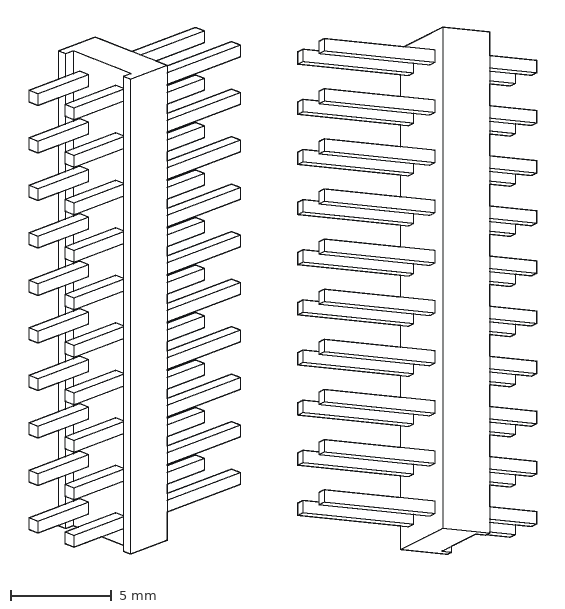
import cadquery as cq

pitch = 2.55
columns = 2
rows = 10
pin_size = 0.64
pin_back_length = 6.0
pin_front_length = 2.97
body_depth = 2.55
channel_depth = 0.53
rim_width = 0.5

body_width = columns * pitch
body_height = rows * pitch
pin_length = pin_back_length + body_depth + pin_front_length
pin_center_y = (pin_back_length - pin_front_length) / 2


def make_body():
    """Housing block with a full-height channel in its -Y face."""
    block = cq.Workplane("XY").box(body_width, body_depth, body_height)
    channel_center_y = (channel_depth - body_depth) / 2
    channel = (
        cq.Workplane("XY")
        .box(body_width - 2 * rim_width, channel_depth, body_height)
        .translate((0, channel_center_y, 0))
    )
    return block.cut(channel)


def make_pins():
    """Grid of straight square pins running along Y."""
    return (
        cq.Workplane("XZ")
        .rarray(pitch, pitch, columns, rows)
        .rect(pin_size, pin_size)
        .extrude(pin_length / 2, both=True)
        .translate((0, pin_center_y, 0))
    )


result = make_body().union(make_pins())